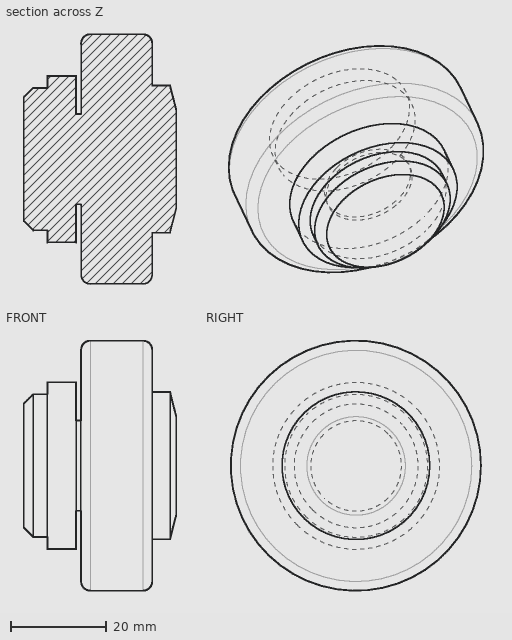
import cadquery as cq

flange_start = 5.0
flange_end = 11.0
roller_start = 12.0
roller_end = 27.0
taper_start = 30.7
total_length = 32.0

stud_diameter = 30.0
flange_diameter = 35.0
neck_diameter = 19.0
roller_diameter = 52.5
hub_diameter = 31.0
hub_face_diameter = 20.7

stud_chamfer = 2.0
roller_fillet = 2.0


def disc(start, end, diameter):
    """Solid cylinder along X between two stations."""
    return cq.Workplane("YZ", origin=(start, 0, 0)).circle(diameter / 2).extrude(end - start)


def tapered_hub():
    """Hub behind the roller, narrowing in a cone to its end face."""
    profile = [
        (roller_end, 0),
        (roller_end, hub_diameter / 2),
        (taper_start, hub_diameter / 2),
        (total_length, hub_face_diameter / 2),
        (total_length, 0),
    ]
    return cq.Workplane("XY").polyline(profile).close().revolve(360, (0, 0, 0), (1, 0, 0))


stud = disc(0, flange_start, stud_diameter).faces("<X").chamfer(stud_chamfer)
flange = disc(flange_start, flange_end, flange_diameter)
neck = disc(flange_end, roller_start, neck_diameter)
roller = disc(roller_start, roller_end, roller_diameter).edges().fillet(roller_fillet)

body = stud.union(flange).union(neck).union(roller).union(tapered_hub())
result = body.translate((-total_length / 2, 0, 0))